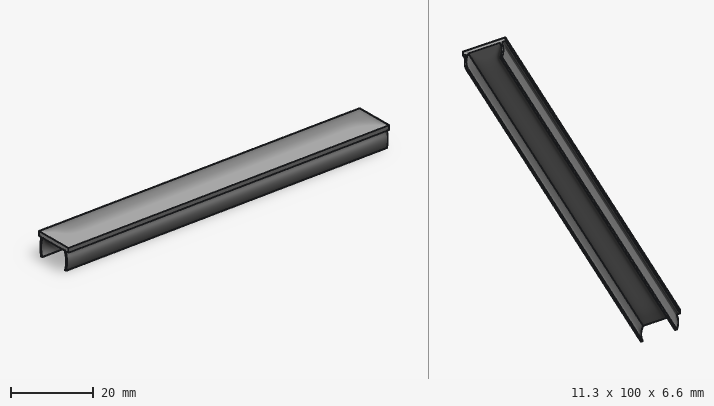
import cadquery as cq

length = 100.0
width = 11.3
height = 6.6
plate_thickness = 1.3

root_outer = 4.7
bow_outer = 5.2
tip_outer = 4.8
leg_thickness = 0.5
root_fillet = 0.3
bow_drop = 4.1

top = height / 2
plate_bottom = top - plate_thickness
leg_bottom = -height / 2
bow_height = top - bow_drop
overlap = plate_thickness / 2
leg_top = plate_bottom + overlap


def make_plate():
    return cq.Workplane("XY").box(width, length, plate_thickness).translate(
        (0, 0, top - plate_thickness / 2)
    )


def make_leg(side):
    """Bowed leg at +X (side=1) or -X (side=-1), rooted inside the plate."""
    return (
        cq.Workplane("XZ")
        .moveTo(side * root_outer, leg_top)
        .lineTo(side * root_outer, plate_bottom)
        .threePointArc((side * bow_outer, bow_height), (side * tip_outer, leg_bottom))
        .lineTo(side * (tip_outer - leg_thickness), leg_bottom)
        .threePointArc(
            (side * (bow_outer - leg_thickness), bow_height),
            (side * (root_outer - leg_thickness), plate_bottom),
        )
        .lineTo(side * (root_outer - leg_thickness), leg_top)
        .close()
        .extrude(length / 2, both=True)
    )


result = make_plate()
for side in (-1, 1):
    result = result.union(make_leg(side))

for side in (-1, 1):
    root_corner = cq.selectors.NearestToPointSelector((side * root_outer, 0, plate_bottom))
    result = result.edges("|Y").edges(root_corner).fillet(root_fillet)